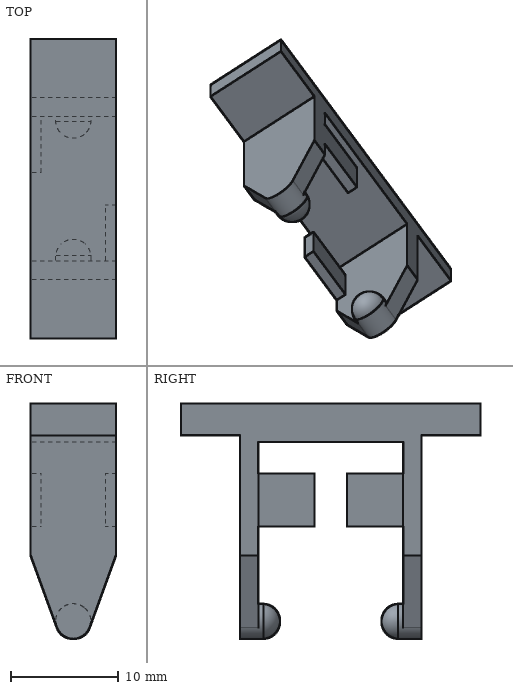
import cadquery as cq
import math

plate_width = 8.0
plate_length = 28.0
plate_thickness = 3.0
total_height = 22.0

pad_drop = 0.62

leg_span = 17.0
leg_thickness = 1.75
tip_radius = 1.65
taper_angle = 20.0

boss_length = 0.5
nose_height = 1.55

tab_thickness = 1.0
tab_height = 4.98
tab_top_depth = 6.52
tab_gap = 3.0

half_width = plate_width / 2
leg_outer = leg_span / 2
leg_inner = leg_outer - leg_thickness
tip_center_z = tip_radius - total_height


def block(x_range, y_range, z_range):
    """Box between the given limits on each axis."""
    sizes = [high - low for low, high in (x_range, y_range, z_range)]
    corner = (x_range[0], y_range[0], z_range[0])
    return cq.Workplane("XY").box(*sizes, centered=False).translate(corner)


def make_leg():
    """Leg on the -Y side, its tapered sides tangent to the round tip rod."""
    taper = math.radians(taper_angle)
    tangent_x = tip_radius * math.cos(taper)
    tangent_z = tip_center_z - tip_radius * math.sin(taper)
    shoulder_z = tangent_z + (half_width - tangent_x) / math.tan(taper)
    blade = (
        cq.Workplane("XZ", origin=(0, -leg_inner, 0))
        .moveTo(-half_width, -plate_thickness)
        .lineTo(-half_width, shoulder_z)
        .lineTo(-tangent_x, tangent_z)
        .lineTo(tangent_x, tangent_z)
        .lineTo(half_width, shoulder_z)
        .lineTo(half_width, -plate_thickness)
        .close()
        .extrude(leg_thickness)
    )
    return blade.union(make_tip_rod())


def make_tip_rod():
    """Rod that rounds the leg tip and ends in a spherical nose beyond the inner face."""
    rod = (
        cq.Workplane("XZ", origin=(0, -leg_outer, tip_center_z))
        .circle(tip_radius)
        .extrude(-(leg_thickness + boss_length))
    )
    nose_center_y = -leg_inner + boss_length + nose_height - tip_radius
    nose = cq.Workplane("XY").sphere(tip_radius).translate((0, nose_center_y, tip_center_z))
    nose_end_y = nose_center_y + tip_radius
    nose_side = block(
        (-half_width, half_width),
        (-leg_inner + boss_length, nose_end_y),
        (-total_height, tip_center_z + tip_radius),
    )
    return rod.union(nose.intersect(nose_side))


def make_tab():
    """Flat tab on the inner face of the +Y leg, flush with its -X side."""
    return block(
        (-half_width, tab_thickness - half_width),
        (tab_gap / 2, leg_inner),
        (-tab_top_depth - tab_height, -tab_top_depth),
    )


def half_turn(body):
    """Body turned 180 degrees about the Z axis, which swaps the two legs."""
    return body.rotate((0, 0, 0), (0, 0, 1), 180)


def make_frame():
    """Plate, pad, both legs and the tab of the +Y leg, as one solid."""
    across = (-half_width, half_width)
    pad_bottom = -plate_thickness - pad_drop
    plate = block(across, (-plate_length / 2, plate_length / 2), (-plate_thickness, 0))
    pad = block(across, (-leg_inner, leg_inner), (pad_bottom, -plate_thickness))
    leg = make_leg()
    return plate.union(pad).union(leg).union(half_turn(leg)).union(make_tab())


frame = make_frame()

loose_tab = half_turn(make_tab())

result = cq.Compound.makeCompound([frame.val(), loose_tab.val()])